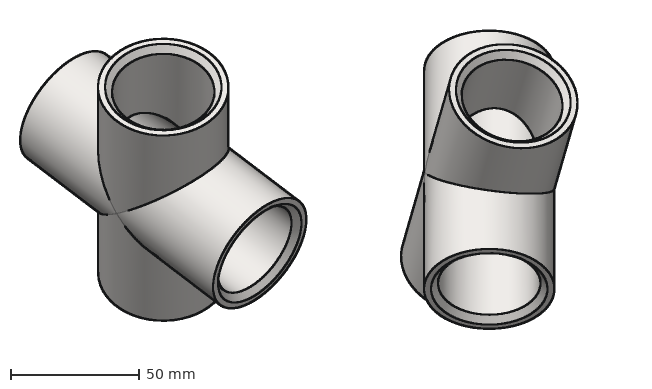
import cadquery as cq

overall_length = 108.0
outer_diameter = 51.0
bore_diameter = 40.0
mouth_diameter = 45.5
mouth_depth = 2.75

half_length = overall_length / 2
outer_radius = outer_diameter / 2
bore_radius = bore_diameter / 2
mouth_radius = mouth_diameter / 2


def along_x(solid):
    """Turn a solid made along Z so that it lies along X."""
    return solid.rotate((0, 0, 0), (0, 1, 0), 90)


def pipe_body():
    """Solid outer cylinder along Z, centred on the origin."""
    return cq.Workplane("XY").circle(outer_radius).extrude(half_length, both=True)


def pipe_bore():
    """Through bore along Z with a conical mouth at both ends."""
    bore_end = half_length - mouth_depth
    profile = [
        (0, -half_length),
        (mouth_radius, -half_length),
        (bore_radius, -bore_end),
        (bore_radius, bore_end),
        (mouth_radius, half_length),
        (0, half_length),
    ]
    return cq.Workplane("XZ").polyline(profile).close().revolve(360, (0, 0), (0, 1))


bodies = pipe_body().union(along_x(pipe_body()))
result = bodies.cut(pipe_bore()).cut(along_x(pipe_bore()))